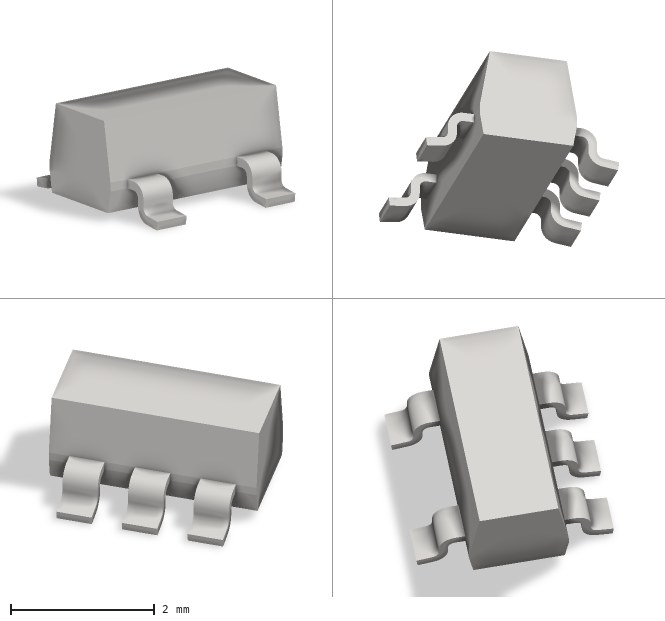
import cadquery as cq
import math


body_length = 3.0
lead_span = 2.8
overall_height = 1.45

housing_width = 1.41
housing_top_width = 1.115
housing_bottom_width = 1.3
housing_bottom_z = 0.132

lead_thickness = 0.13
lead_width = 0.51
lead_pitch = 0.948
lead_top_z = 0.585
lead_shank_x = 1.08
inner_bend_radius = 0.1
foot_angle = math.radians(7)

outer_bend_radius = inner_bend_radius + lead_thickness
lead_bottom_z = lead_top_z - lead_thickness
left_lead_rows = (-1, 0, 1)
right_lead_rows = (-1, 1)


def make_housing():
    """Prism with tapered sides above and below a straight band as tall as the lead thickness."""
    right_side = [
        (housing_bottom_width / 2, housing_bottom_z),
        (housing_width / 2, lead_bottom_z),
        (housing_width / 2, lead_top_z),
        (housing_top_width / 2, overall_height),
    ]
    left_side = [(-x, z) for x, z in reversed(right_side)]
    return cq.Workplane("XZ").polyline(right_side + left_side).close().extrude(body_length / 2, both=True)


def arc_point(center, radius, angle):
    """Point on a circle in the XZ plane, with the angle measured from +X towards +Z."""
    return (center[0] + radius * math.cos(angle), center[1] + radius * math.sin(angle))


def make_right_lead():
    """Gull-wing lead on the +X side, centred on Y = 0."""
    shoulder_center = (lead_shank_x - outer_bend_radius, lead_top_z - outer_bend_radius)
    shoulder_middle = math.pi / 4

    ankle_x = lead_shank_x + inner_bend_radius
    ankle_start = math.pi
    ankle_end = 1.5 * math.pi - foot_angle
    ankle_middle = (ankle_start + ankle_end) / 2

    tip_top = (lead_span / 2, lead_thickness * math.cos(foot_angle))
    tip_bottom = (tip_top[0] - lead_thickness * math.sin(foot_angle), 0)
    foot_run = tip_top[0] - (ankle_x - inner_bend_radius * math.sin(foot_angle))
    foot_start_z = tip_top[1] + foot_run * math.tan(foot_angle)
    ankle_center = (ankle_x, foot_start_z + inner_bend_radius * math.cos(foot_angle))

    profile = (
        cq.Workplane("XZ")
        .moveTo(housing_width / 2, lead_top_z)
        .lineTo(shoulder_center[0], lead_top_z)
        .threePointArc(
            arc_point(shoulder_center, outer_bend_radius, shoulder_middle),
            (lead_shank_x, shoulder_center[1]),
        )
        .lineTo(lead_shank_x, ankle_center[1])
        .threePointArc(
            arc_point(ankle_center, inner_bend_radius, ankle_middle),
            arc_point(ankle_center, inner_bend_radius, ankle_end),
        )
        .lineTo(*tip_top)
        .lineTo(*tip_bottom)
        .lineTo(*arc_point(ankle_center, outer_bend_radius, ankle_end))
        .threePointArc(
            arc_point(ankle_center, outer_bend_radius, ankle_middle),
            (lead_shank_x - lead_thickness, ankle_center[1]),
        )
        .lineTo(lead_shank_x - lead_thickness, shoulder_center[1])
        .threePointArc(
            arc_point(shoulder_center, inner_bend_radius, shoulder_middle),
            (shoulder_center[0], lead_bottom_z),
        )
        .lineTo(housing_width / 2, lead_bottom_z)
        .close()
    )
    return profile.extrude(lead_width / 2, both=True)


def place_leads(lead, rows):
    """One separate copy of the lead for each row along Y."""
    return [lead.translate((0, row * lead_pitch, 0)).val() for row in rows]


housing = make_housing()
right_lead = make_right_lead()
left_lead = right_lead.mirror("YZ")

leads = place_leads(left_lead, left_lead_rows) + place_leads(right_lead, right_lead_rows)

result = cq.Compound.makeCompound([housing.val(), *leads])